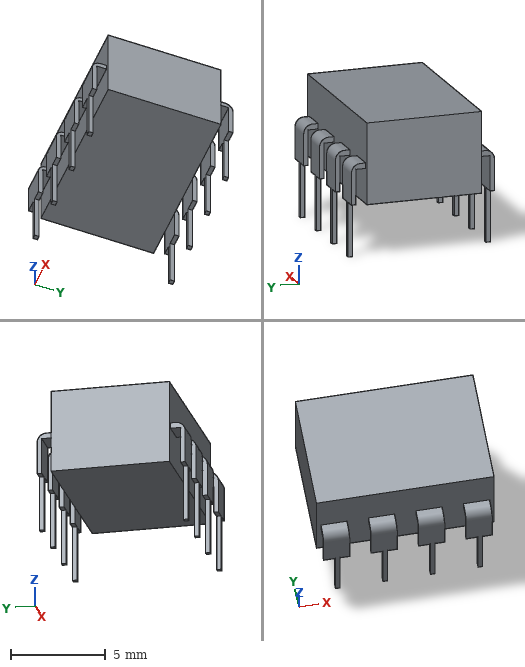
import cadquery as cq

BODY_LENGTH = 9.5
BODY_WIDTH = 6.4
BODY_HEIGHT = 4.5

LEADS_PER_SIDE = 4
LEAD_PITCH = 2.54
LEAD_SPAN = 8.0
LEAD_THICKNESS = 0.25
SHOULDER_THICKNESS = 0.3
SHOULDER_TOP = 2.25
BEND_RADIUS = 0.5
PAD_WIDTH = 1.4
PIN_WIDTH = 0.25
PIN_LENGTH = 3.0
PIN_OFFSET = 0.06
BACK_ROW_SHIFT = -0.05

LEAD_REACH = (LEAD_SPAN - BODY_WIDTH) / 2


def make_body():
    """Block centred on X and Y, with its underside at Z = 0."""
    return cq.Workplane("XY").box(
        BODY_LENGTH, BODY_WIDTH, BODY_HEIGHT, centered=(True, True, False)
    )


def make_lead():
    """Front lead, centred on X = 0: a bent pad with a narrow pin below it."""
    outer_y = -LEAD_SPAN / 2
    pad = (
        cq.Workplane("YZ")
        .moveTo(outer_y, 0)
        .lineTo(outer_y, SHOULDER_TOP - BEND_RADIUS)
        .radiusArc((outer_y + BEND_RADIUS, SHOULDER_TOP), BEND_RADIUS)
        .lineTo(outer_y + LEAD_REACH, SHOULDER_TOP)
        .lineTo(outer_y + LEAD_REACH, SHOULDER_TOP - SHOULDER_THICKNESS)
        .lineTo(outer_y + LEAD_THICKNESS, SHOULDER_TOP - SHOULDER_THICKNESS)
        .lineTo(outer_y + LEAD_THICKNESS, 0)
        .close()
        .extrude(PAD_WIDTH / 2, both=True)
    )
    pin = (
        cq.Workplane("XY")
        .center(PIN_OFFSET, outer_y + LEAD_THICKNESS / 2)
        .rect(PIN_WIDTH, LEAD_THICKNESS)
        .extrude(-PIN_LENGTH)
    )
    return pad.union(pin)


def make_lead_rows():
    """Front row, and a back row of the same leads turned half a turn about Z."""
    front_lead = make_lead()
    back_lead = front_lead.rotate((0, 0, 0), (0, 0, 1), 180)
    leads = []
    for index in range(LEADS_PER_SIDE):
        x = (index - (LEADS_PER_SIDE - 1) / 2) * LEAD_PITCH
        leads.append(front_lead.translate((x, 0, 0)).val())
        leads.append(back_lead.translate((x + BACK_ROW_SHIFT, 0, 0)).val())
    return leads


body = make_body()
leads = make_lead_rows()

result = cq.Compound.makeCompound([body.val(), *leads])